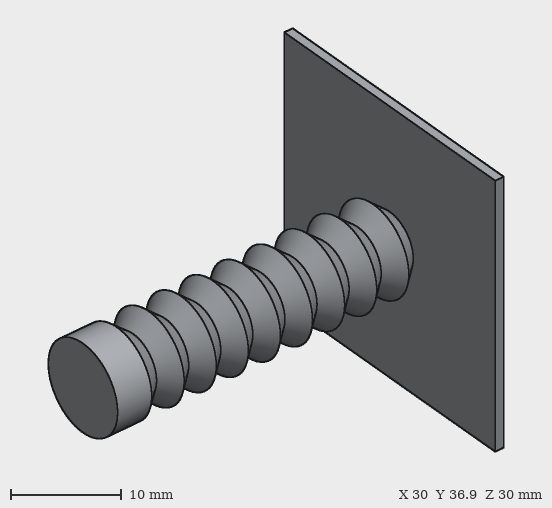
import cadquery as cq

total_length = 36.85
plate_side = 30.0
plate_thickness = 1.0
crest_diameter = 10.0
root_diameter = 6.7
cap_diameter = 9.88
cap_length = 3.98
full_ridge_count = 8

stem_length = total_length - plate_thickness - cap_length
half_pitch = stem_length / (2 * full_ridge_count + 1)
crest_radius = crest_diameter / 2
root_radius = root_diameter / 2
cap_radius = cap_diameter / 2


def make_plate():
    """Square mounting plate with its front face on the XZ plane, body toward +Y."""
    return cq.Workplane("XY").box(
        plate_side, plate_thickness, plate_side, centered=(True, False, True)
    )


def make_ridged_stem():
    """Stem with sharp ridges and a plain end cap, revolved about the Y axis toward -Y."""
    profile = [(0, 0), (root_radius, 0)]
    for ridge in range(full_ridge_count):
        ridge_start = -2 * ridge * half_pitch
        profile.append((crest_radius, ridge_start - half_pitch))
        profile.append((root_radius, ridge_start - 2 * half_pitch))
    cap_end = -(stem_length + cap_length)
    profile += [(cap_radius, -stem_length), (cap_radius, cap_end), (0, cap_end)]
    return cq.Workplane("XY").polyline(profile).close().revolve(360, (0, 0, 0), (0, 1, 0))


result = make_plate().union(make_ridged_stem())